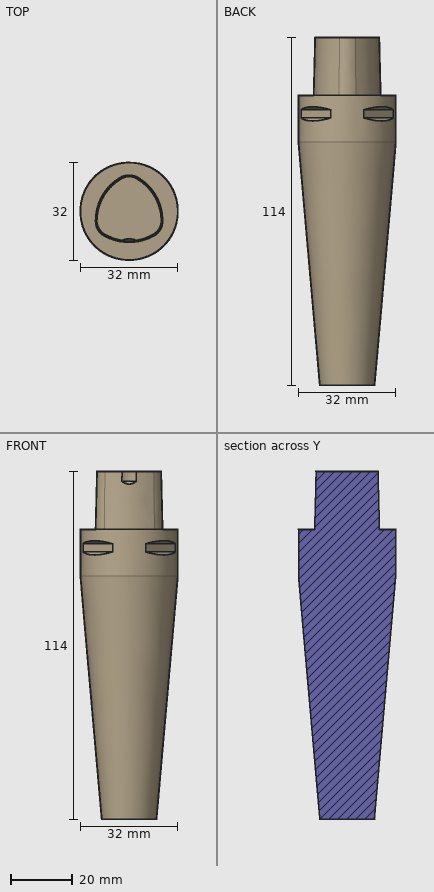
import cadquery as cq
import math

total_height = 114.0
collar_diameter = 32.0
collar_height = 15.2
shank_height = 19.0
tip_diameter = 18.0
collar_top = total_height - shank_height
collar_bottom = collar_top - collar_height

lobe_centre_distance = 6.3
lobe_radius = 5.6
flank_radius = lobe_radius + lobe_centre_distance * math.sqrt(3)
shank_taper_angle = math.degrees(math.atan(1 / 40))
lobe_angles = (90, 210, 330)
lobe_half_span = 30
flank_half_span = 30

groove_count = 4
groove_floor_distance = 14.5
groove_floor_width = 2.6
groove_side_angle = 34
groove_below_face = 6.0

notch_diameter = 10.0
notch_inner_distance = 9.0
notch_wall_depth = 3.2
notch_cone_angle = 52


def polar(radius, angle, centre=(0, 0)):
    """Point at a radius and an angle in degrees from a centre."""
    turn = math.radians(angle)
    return (centre[0] + radius * math.cos(turn), centre[1] + radius * math.sin(turn))


def make_body():
    """Collar with the long cone narrowing below it."""
    collar_radius = collar_diameter / 2
    return (
        cq.Workplane("XZ")
        .lineTo(tip_diameter / 2, 0)
        .lineTo(collar_radius, collar_bottom)
        .lineTo(collar_radius, collar_top)
        .lineTo(0, collar_top)
        .close()
        .revolve(360, (0, 0), (0, 1))
    )


def make_shank():
    """Lobes and flanks joined by tangent arcs, each spanning 60 degrees."""
    centres = [polar(lobe_centre_distance, angle) for angle in lobe_angles]
    outline = cq.Workplane("XY", origin=(0, 0, collar_top)).moveTo(
        *polar(lobe_radius, lobe_angles[0] - lobe_half_span, centres[0])
    )
    for index, angle in enumerate(lobe_angles):
        lobe_centre = centres[index]
        flank_centre = centres[(index + 2) % len(centres)]
        outline = outline.threePointArc(
            polar(lobe_radius, angle, lobe_centre),
            polar(lobe_radius, angle + lobe_half_span, lobe_centre),
        ).threePointArc(
            polar(flank_radius, angle + lobe_half_span + flank_half_span, flank_centre),
            polar(flank_radius, angle + lobe_half_span + 2 * flank_half_span, flank_centre),
        )
    return outline.close().extrude(shank_height, taper=shank_taper_angle)


def make_groove():
    """Straight groove tangent to the collar on its +X side."""
    cut_depth = collar_diameter / 2 - groove_floor_distance
    half_floor = groove_floor_width / 2
    half_mouth = half_floor + cut_depth * math.tan(math.radians(groove_side_angle))
    outer = collar_diameter / 2
    return (
        cq.Workplane("XZ")
        .moveTo(groove_floor_distance, -half_floor)
        .lineTo(outer, -half_mouth)
        .lineTo(outer, half_mouth)
        .lineTo(groove_floor_distance, half_floor)
        .close()
        .extrude(collar_diameter / 2, both=True)
        .translate((0, 0, collar_top - groove_below_face))
    )


def make_notch():
    """Vertical cylinder with a conical lower end, centred outside the shank."""
    radius = notch_diameter / 2
    wall_bottom = total_height - notch_wall_depth
    cone_tip = wall_bottom - radius * math.tan(math.radians(notch_cone_angle))
    return (
        cq.Workplane("XZ")
        .moveTo(0, cone_tip)
        .lineTo(radius, wall_bottom)
        .lineTo(radius, total_height)
        .lineTo(0, total_height)
        .close()
        .revolve(360, (0, 0), (0, 1))
        .translate((0, -notch_inner_distance - radius, 0))
    )


result = make_body().union(make_shank())
for number in range(groove_count):
    groove_angle = (number + 0.5) * 360 / groove_count
    result = result.cut(make_groove().rotate((0, 0, 0), (0, 0, 1), groove_angle))
result = result.cut(make_notch())